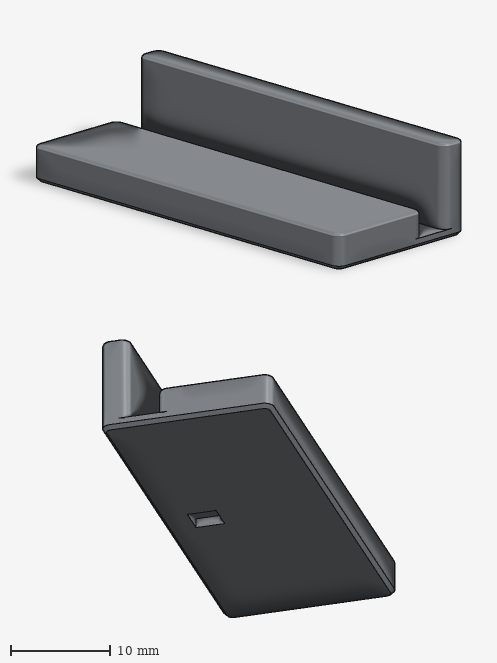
import cadquery as cq

length = 43.7
depth = 18.0
wall_height = 10.0

wall_thickness = 3.0
channel_width = 3.0
block_depth = depth - wall_thickness - channel_width
block_height = 3.8
floor_thickness = 1.0

opening_length = 3.0

corner_radius = 1.0
top_edge_radius = 0.4
bottom_chamfer = 0.4

front_y = -depth / 2
channel_front_y = front_y + block_depth
channel_centre_y = channel_front_y + channel_width / 2
wall_front_y = channel_front_y + channel_width


def rounded_slab(start_y, slab_depth, height):
    """Full-length slab standing on Z = 0 with rounded vertical corners."""
    return (
        cq.Workplane("XY")
        .center(0, start_y + slab_depth / 2)
        .rect(length, slab_depth)
        .extrude(height)
        .edges("|Z")
        .fillet(corner_radius)
    )


def raised_slab(start_y, slab_depth, height):
    """Rounded slab whose top rim is also rounded."""
    return rounded_slab(start_y, slab_depth, height).faces(">Z").edges().fillet(top_edge_radius)


def base_floor():
    """Thin floor under the whole part, chamfered around its bottom rim."""
    return rounded_slab(front_y, depth, floor_thickness).faces("<Z").edges().chamfer(bottom_chamfer)


def above_floor(body):
    """Keep only the portion of a body that stands on top of the floor."""
    below = cq.Workplane("XY").box(length, depth, floor_thickness, centered=(True, True, False))
    return body.cut(below)


def floor_opening():
    """Cutter for the opening through the channel floor."""
    return (
        cq.Workplane("XY")
        .center(0, channel_centre_y)
        .rect(opening_length, channel_width)
        .extrude(floor_thickness)
    )


block = above_floor(raised_slab(front_y, block_depth, block_height))
wall = above_floor(raised_slab(wall_front_y, wall_thickness, wall_height))

result = base_floor().union(block).union(wall).cut(floor_opening()).clean()